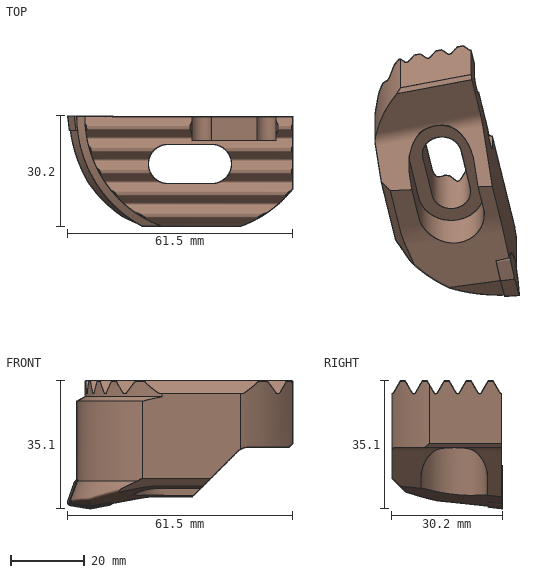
import cadquery as cq
import math


length = 61.5
top_z = 35.1
body_width = 29.95
tooth_count = 5
tooth_pitch = body_width / tooth_count
insert_proud = 0.25

axis_x = 36.55
crown_radius = 31.8
skirt_radius = 34.0
crown_base_z = 30.6
skirt_top_z = 29.4
flare_top_z = 7.55
flare_angle = 20.4
rim_chamfer = 0.35

tooth_height = 3.6
tooth_flank_angle = 30.0
crest_width = 1.15
crest_round = 0.4
root_round = 0.5

ridge_x = 6.15
ridge_z = 0.35
flat_z = 3.3
left_angle = 9.3
right_angle = 10.4
blend_tangent = 2.35
relief_angle = 6.0
front_chamfer_z = 8.35
edge_round = 0.6
overhang_z = 16.8
ramp_corner_x = 47.55
ramp_fillet = 4.3
overhang_chamfer = 1.05

slot_left_x = 27.4
slot_right_x = 39.4
slot_y = 17.05
slot_width = 10.65
slot_radius = slot_width / 2
counterbore_radius = 9.05

pocket_left_x = 34.0
pocket_right_x = 56.95
pocket_depth = 6.5
pocket_floor_z = 25.2
floor_groove_radius = 2.65
mouth_flare = 0.55
mouth_flare_height = 2.3

insert_inner_radius = 4.9
insert_nose_angle = 80.0
corner_step = 60.0
half_nose = math.radians(insert_nose_angle / 2)
half_blunt = math.pi - half_nose - math.radians(corner_step)
insert_outer_radius = insert_inner_radius * math.sin(half_blunt) / math.sin(half_nose)
insert_tilt = 0.7
insert_nose_radius = 1.0
insert_thickness = 4.0
insert_clearance = 7.0
insert_nose_center = insert_outer_radius - insert_nose_radius / math.sin(half_nose)
nose_direction = math.radians(corner_step / 2 + insert_tilt)
insert_center_x = insert_nose_radius + insert_nose_center * math.cos(nose_direction)
insert_center_z = insert_inner_radius * math.cos(math.radians(insert_tilt))

margin = 3.1


def turned(radial_profile):
    """Revolve (radius, z) points about the body's vertical axis."""
    points = [(axis_x + radius, z) for radius, z in radial_profile]
    return (
        cq.Workplane("XZ", origin=(0, body_width, 0))
        .polyline(points)
        .close()
        .revolve(360, (axis_x, 0, 0), (axis_x, 1, 0))
    )


def span(x_from, x_to):
    """Block over the full body width between two X positions."""
    return (
        cq.Workplane("XY", origin=(0, 0, -margin))
        .moveTo(x_from, 0)
        .lineTo(x_to, 0)
        .lineTo(x_to, body_width)
        .lineTo(x_from, body_width)
        .close()
        .extrude(top_z + 2 * margin)
    )


def round_blank():
    """Flared skirt on the left of the axis, plain crown radius on the right."""
    flare_bottom_radius = skirt_radius + (flare_top_z + margin) * math.tan(math.radians(flare_angle))
    crown = [
        (crown_radius, top_z - rim_chamfer),
        (crown_radius - rim_chamfer, top_z),
        (0, top_z),
    ]
    left = turned([
        (0, -margin),
        (flare_bottom_radius, -margin),
        (skirt_radius, flare_top_z),
        (skirt_radius, skirt_top_z),
        (crown_radius, crown_base_z),
    ] + crown)
    right = turned([(0, -margin), (crown_radius, -margin)] + crown)
    left = left.intersect(span(-margin, axis_x))
    right = right.intersect(span(axis_x, length))
    return left.union(right)


def sloped_underside():
    """Everything above the underside: one outline swept forward along the relief angle."""
    left_rise = math.tan(math.radians(left_angle))
    right_rise = math.tan(math.radians(right_angle))
    corner_x = ridge_x + (flat_z - ridge_z) / right_rise
    slope_run = blend_tangent * math.cos(math.radians(right_angle))
    left_x = -margin
    right_x = length + margin
    outline = (
        cq.Workplane("XZ", origin=(0, body_width, 0))
        .moveTo(left_x, ridge_z + left_rise * (ridge_x - left_x))
        .lineTo(ridge_x, ridge_z)
        .lineTo(corner_x - slope_run, flat_z - slope_run * right_rise)
        .tangentArcPoint((corner_x + blend_tangent, flat_z), relative=False)
        .lineTo(right_x, flat_z)
        .lineTo(right_x, top_z + margin)
        .lineTo(left_x, top_z + margin)
        .close()
        .wire()
        .val()
    )
    sweep = cq.Vector(0, -body_width, body_width * math.tan(math.radians(relief_angle)))
    return cq.Workplane(cq.Solid.extrudeLinear(outline, [], sweep))


def front_chamfer():
    """Wedge removed along the lower front edge at 45 degrees."""
    return (
        cq.Workplane("YZ", origin=(-margin, 0, 0))
        .moveTo(-margin, front_chamfer_z + margin)
        .lineTo(front_chamfer_z + margin, -margin)
        .lineTo(-margin, -margin)
        .close()
        .extrude(length + 2 * margin)
    )


def flare_foot(x):
    """Point close to where the flare meets the underside at the given X."""
    radius = skirt_radius + (flare_top_z - ridge_z) * math.tan(math.radians(flare_angle))
    depth = math.sqrt(radius ** 2 - (axis_x - x) ** 2)
    return (x, body_width - depth, ridge_z + depth * math.tan(math.radians(relief_angle)))


def rounded_blank():
    """Round blank trimmed underneath, with the edge between flare and underside rounded."""
    blank = round_blank().intersect(sloped_underside()).cut(front_chamfer())
    left_edge = cq.selectors.NearestToPointSelector(flare_foot(ridge_x / 3))
    right_edge = cq.selectors.NearestToPointSelector(flare_foot(1.5 * ridge_x))
    return blank.edges(cq.selectors.SumSelector(left_edge, right_edge)).fillet(edge_round)


def side_outline():
    """45 degree ramp up to the overhang, and the small chamfers on the right end."""
    ramp_bottom_x = ramp_corner_x - overhang_z - margin
    block = (
        cq.Workplane("XZ", origin=(0, body_width, 0))
        .moveTo(-margin, -margin)
        .lineTo(ramp_bottom_x, -margin)
        .lineTo(ramp_corner_x, overhang_z)
        .lineTo(length - overhang_chamfer, overhang_z)
        .lineTo(length, overhang_z + overhang_chamfer)
        .lineTo(length, top_z - rim_chamfer)
        .lineTo(length - rim_chamfer, top_z)
        .lineTo(-margin, top_z)
        .close()
        .extrude(body_width)
    )
    ramp_edge = cq.selectors.NearestToPointSelector((ramp_corner_x, body_width / 2, overhang_z))
    return block.edges("|Y").edges(ramp_edge).fillet(ramp_fillet)


def tooth_comb():
    """Long block with the tooth profile on top, overhanging the body by one tooth on each side."""
    root_z = top_z - tooth_height
    half_crest = crest_width / 2
    half_base = half_crest + tooth_height * math.tan(math.radians(tooth_flank_angle))
    outline = []
    for index in range(-1, tooth_count + 1):
        tooth_y = (index + 0.5) * tooth_pitch
        outline += [
            (tooth_y - half_base, root_z),
            (tooth_y - half_crest, top_z),
            (tooth_y + half_crest, top_z),
            (tooth_y + half_base, root_z),
        ]
    first_y = outline[0][0]
    last_y = outline[-1][0]
    outline += [(last_y, -margin), (first_y, -margin)]
    comb = (
        cq.Workplane("YZ", origin=(-margin, 0, 0))
        .polyline(outline)
        .close()
        .extrude(length + 2 * margin)
    )
    comb = comb.faces(">Z").edges("|X").fillet(crest_round)
    inside = cq.selectors.BoxSelector(
        (-2 * length, -tooth_pitch / 2, root_z - root_round),
        (2 * length, body_width + tooth_pitch / 2, root_z + root_round),
    )
    return comb.edges("|X").edges(inside).fillet(root_round)


def slot_prism(radius, bottom_z, height):
    """Upright prism with half-round ends at the slot's two centres."""
    return (
        cq.Workplane("XY", origin=((slot_left_x + slot_right_x) / 2, slot_y, bottom_z))
        .slot2D(slot_right_x - slot_left_x + 2 * radius, 2 * radius)
        .extrude(height)
    )


def bolt_slot():
    """Through slot with a counterbore up to the level of the overhang."""
    through = slot_prism(slot_radius, -margin, top_z + 2 * margin)
    counterbore = slot_prism(counterbore_radius, -margin, overhang_z + margin)
    return through.union(counterbore)


def back_pocket():
    """Open pocket in the back face: grooved floor, upright sides, flared mouth."""
    groove_width = 2 * floor_groove_radius
    left_groove_x = pocket_left_x + floor_groove_radius
    right_groove_x = pocket_right_x - floor_groove_radius
    groove_bottom_z = pocket_floor_z - floor_groove_radius
    flare_z = top_z - mouth_flare_height
    return (
        cq.Workplane("XZ", origin=(0, body_width, 0))
        .moveTo(pocket_left_x - mouth_flare, top_z)
        .lineTo(pocket_left_x, flare_z)
        .lineTo(pocket_left_x, pocket_floor_z)
        .threePointArc((left_groove_x, groove_bottom_z), (pocket_left_x + groove_width, pocket_floor_z))
        .lineTo(pocket_right_x - groove_width, pocket_floor_z)
        .threePointArc((right_groove_x, groove_bottom_z), (pocket_right_x, pocket_floor_z))
        .lineTo(pocket_right_x, flare_z)
        .lineTo(pocket_right_x + mouth_flare, top_z)
        .close()
        .extrude(pocket_depth)
    )


def make_insert():
    """Cutting insert, widest at its cutting face on the +Y side."""
    corners = []
    for index in range(6):
        radius = insert_inner_radius if index % 2 == 0 else insert_outer_radius
        angle = math.radians(270 + insert_tilt + corner_step * index)
        corners.append((
            insert_center_x + radius * math.cos(angle),
            insert_center_z + radius * math.sin(angle),
        ))
    outline = cq.Sketch().polygon(corners + corners[:1])
    for x, z in corners[1::2]:
        nose = cq.selectors.NearestToPointSelector((x, z, 0))
        outline = outline.reset().vertices(nose).fillet(insert_nose_radius)
    cutting_face_y = body_width + insert_proud
    return (
        cq.Workplane("XZ", origin=(0, cutting_face_y, 0))
        .placeSketch(outline)
        .extrude(insert_thickness, taper=insert_clearance)
    )


def make_holder(insert):
    """Serrated holder with a seat matching the insert."""
    holder = rounded_blank().intersect(side_outline())
    holder = holder.intersect(tooth_comb())
    holder = holder.cut(bolt_slot())
    holder = holder.cut(back_pocket())
    return holder.cut(insert)


insert = make_insert()
holder = make_holder(insert)
result = cq.Compound.makeCompound([holder.val(), insert.val()])